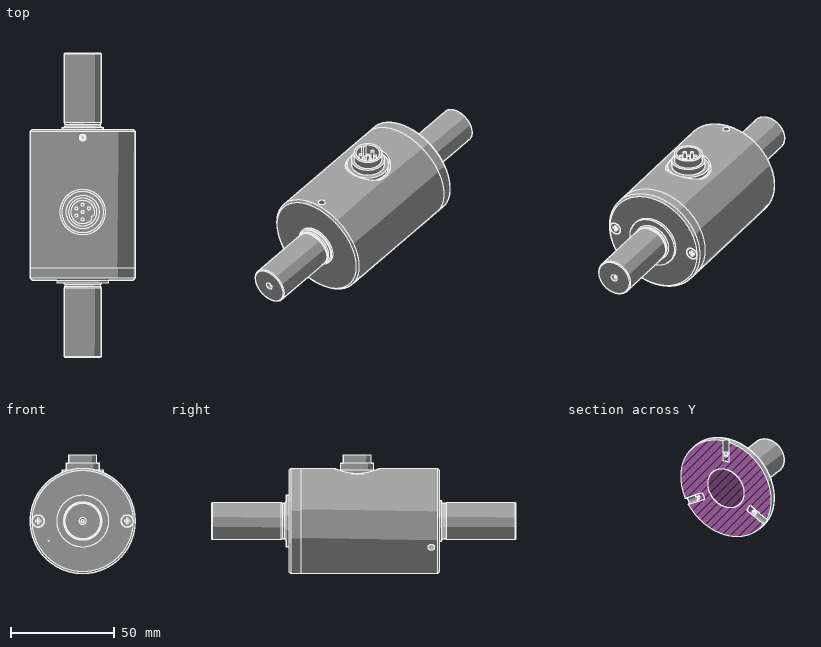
import cadquery as cq
import math


body_dia = 51.0
body_radius = body_dia / 2
housing_back_y = 36.7
cap_front_y = -36.3
cap_thickness = 5.9
cap_back_y = cap_front_y + cap_thickness
body_chamfer = 1.0

shaft_length = 147.5
shaft_dia = 18.0
journal_dia = 20.0
neck_dia = 17.4
flange_dia = 25.1
shoulder_root_dia = 18.6
flange_thickness = 1.3
collar_end_y = cap_front_y - flange_thickness
shoulder_length = 0.7
neck_length = 0.9
runout_length = 0.9
shaft_chamfer = 0.5
center_mouth_dia = 3.4
center_pilot_dia = 1.5
center_cone_depth = 1.5
center_depth = 3.7
drill_tip_slope = math.tan(math.radians(30))

overall_height = 57.5
connector_y = -3.2
connector_top_z = overall_height - body_radius
seat_dia = 22.0
seat_z = 22.9
connector_flange_dia = 20.0
connector_flange_top_z = 24.8
connector_base_dia = 16.1
connector_base_top_z = 28.0
connector_rim_dia = 13.5
socket_dia = 11.4
socket_depth = 6.6
contact_dia = 1.5
contact_height = 5.3
contact_circle_radius = 3.5
contact_angles = (30, 90, 150, 210, 270)
key_x = 4.3
key_top_y = -1.9

cap_screw_offset = 21.5
cap_screw_head_dia = 5.6
cap_screw_recess_dia = 6.0
cap_screw_head_height = 3.0
cap_screw_shank_dia = 3.0
cap_screw_length = 11.8
cross_span = 2.8
cross_arm_width = 0.9
cross_depth = 1.5

set_screw_y = 32.7
set_screw_dia = 3.2
set_screw_angles = (90, 210, 330)
set_screw_outer_radius = 19.2
set_screw_inner_radius = 14.8
set_screw_chamfer = 0.5
hex_across_flats = 1.5
hex_depth = 1.8


def cylinder_y(diameter, start_y, end_y):
    """Cylinder on the shaft axis between two places along Y."""
    base = cq.Plane(origin=(0, start_y, 0), xDir=(1, 0, 0), normal=(0, 1, 0))
    return cq.Workplane(base).circle(diameter / 2).extrude(end_y - start_y)


def cylinder_z(diameter, bottom_z, top_z):
    """Upright cylinder on the connector axis."""
    base = cq.Workplane("XY", origin=(0, connector_y, bottom_z))
    return base.circle(diameter / 2).extrude(top_z - bottom_z)


def set_screw_plane(angle, radius):
    """Plane at a distance from the shaft axis, facing outwards."""
    x = math.cos(math.radians(angle))
    z = math.sin(math.radians(angle))
    return cq.Plane(origin=(radius * x, set_screw_y, radius * z), xDir=(0, 1, 0), normal=(x, 0, z))


def cap_screw_plane(side):
    """Plane on the cap face at a cap screw, facing into the cap."""
    return cq.Plane(origin=(side * cap_screw_offset, cap_front_y, 0), xDir=(1, 0, 0), normal=(0, 1, 0))


def drill_tip(face, depth, diameter):
    """Cone that a drill leaves below a recess of the given depth; the face plane points into the part."""
    radius = diameter / 2
    tip = cq.Solid.makeCone(radius, 0, radius * drill_tip_slope, face.origin + face.zDir * depth, face.zDir)
    return cq.Workplane(tip)


def cap_screw_blank(side, head_dia):
    """Headed screw without its drive: also the shape of the hole when given the recess diameter."""
    face = cap_screw_plane(side)
    head = cq.Workplane(face).circle(head_dia / 2).extrude(cap_screw_head_height)
    shank = cq.Workplane(face).circle(cap_screw_shank_dia / 2).extrude(cap_screw_length)
    return head.union(shank)


def make_housing():
    housing = cylinder_y(body_dia, cap_back_y, housing_back_y).faces(">Y").chamfer(body_chamfer)
    housing = housing.cut(cylinder_y(journal_dia, cap_back_y, housing_back_y))
    housing = housing.cut(cylinder_z(seat_dia, seat_z, connector_top_z))
    for side in (-1, 1):
        housing = housing.cut(cap_screw_blank(side, cap_screw_recess_dia))
    for angle in set_screw_angles:
        floor = cq.Workplane(set_screw_plane(angle, set_screw_inner_radius))
        housing = housing.cut(floor.circle(set_screw_dia / 2).extrude(body_radius))
    return housing


def make_cap():
    cap = cylinder_y(body_dia, cap_front_y, cap_back_y).faces("<Y").chamfer(body_chamfer)
    cap = cap.cut(cylinder_y(journal_dia, cap_front_y, cap_back_y))
    for side in (-1, 1):
        cap = cap.cut(cap_screw_blank(side, cap_screw_recess_dia))
    return cap


def make_shaft_end():
    """Front shaft end: tapered shoulder, neck, plain stub and a center hole in its face."""
    shoulder_y = collar_end_y - shoulder_length
    neck_y = shoulder_y - neck_length
    stub_y = neck_y - runout_length
    end_y = -shaft_length / 2
    pilot_end_y = end_y + center_depth
    tip_y = pilot_end_y + center_pilot_dia / 2 * drill_tip_slope
    outline = [
        (0, collar_end_y),
        (shoulder_root_dia / 2, collar_end_y),
        (neck_dia / 2, shoulder_y),
        (neck_dia / 2, neck_y),
        (shaft_dia / 2, stub_y),
        (shaft_dia / 2, end_y + shaft_chamfer),
        (shaft_dia / 2 - shaft_chamfer, end_y),
        (center_mouth_dia / 2, end_y),
        (center_pilot_dia / 2, end_y + center_cone_depth),
        (center_pilot_dia / 2, pilot_end_y),
        (0, tip_y),
    ]
    return cq.Workplane("XY").polyline(outline).close().revolve(360, (0, 0, 0), (0, 1, 0))


def make_shaft():
    front_end = make_shaft_end()
    shaft = cylinder_y(journal_dia, collar_end_y, -collar_end_y)
    shaft = shaft.union(cylinder_y(flange_dia, collar_end_y, cap_front_y))
    return shaft.union(front_end).union(front_end.mirror("XZ"))


def make_connector():
    socket_floor_z = connector_top_z - socket_depth
    connector = cylinder_z(connector_flange_dia, seat_z, connector_flange_top_z)
    connector = connector.union(cylinder_z(connector_base_dia, seat_z, connector_base_top_z))
    connector = connector.union(cylinder_z(connector_rim_dia, seat_z, connector_top_z))

    floor = cq.Workplane("XY", origin=(0, connector_y, socket_floor_z))
    key = floor.moveTo(key_x, key_top_y).rect(socket_dia, -socket_dia, centered=False).extrude(socket_depth)
    connector = connector.cut(cylinder_z(socket_dia, socket_floor_z, connector_top_z).cut(key))

    ring = [
        (
            contact_circle_radius * math.cos(math.radians(angle)),
            contact_circle_radius * math.sin(math.radians(angle)),
        )
        for angle in contact_angles
    ]
    contacts = floor.pushPoints([(0, 0), *ring]).circle(contact_dia / 2).extrude(contact_height)
    return connector.union(contacts)


def make_cap_screw(side):
    """Cap screw with a cross recess in its head."""
    face = cap_screw_plane(side)
    cross = cq.Workplane(face).rect(cross_span, cross_arm_width).extrude(cross_depth)
    cross = cross.union(cq.Workplane(face).rect(cross_arm_width, cross_span).extrude(cross_depth))
    cross = cross.union(drill_tip(face, cross_depth, cross_arm_width))
    return cap_screw_blank(side, cap_screw_head_dia).cut(cross)


def make_set_screw(angle):
    """Headless screw with a hexagon socket in its outer end."""
    outer_plane = set_screw_plane(angle, set_screw_outer_radius)
    inner_end = cq.Workplane(set_screw_plane(angle, set_screw_inner_radius))
    screw = inner_end.circle(set_screw_dia / 2).extrude(set_screw_outer_radius - set_screw_inner_radius)
    outer_face = cq.selectors.DirectionMinMaxSelector(outer_plane.zDir)
    screw = screw.faces(outer_face).chamfer(set_screw_chamfer)
    outer_end = cq.Workplane(outer_plane)
    inwards = cq.Plane(origin=outer_plane.origin, xDir=outer_plane.xDir, normal=-outer_plane.zDir)
    hex_across_corners = hex_across_flats / math.cos(math.radians(30))
    screw = screw.cut(drill_tip(inwards, hex_depth, hex_across_flats))
    return screw.cut(outer_end.polygon(6, hex_across_corners).extrude(-hex_depth))


housing = make_housing()
cap = make_cap()
shaft = make_shaft()
connector = make_connector()
cap_screws = [make_cap_screw(side) for side in (-1, 1)]
set_screws = [make_set_screw(angle) for angle in set_screw_angles]

result = cq.Compound.makeCompound([
    housing.val(),
    cap.val(),
    shaft.val(),
    connector.val(),
    *[screw.val() for screw in cap_screws],
    *[screw.val() for screw in set_screws],
])